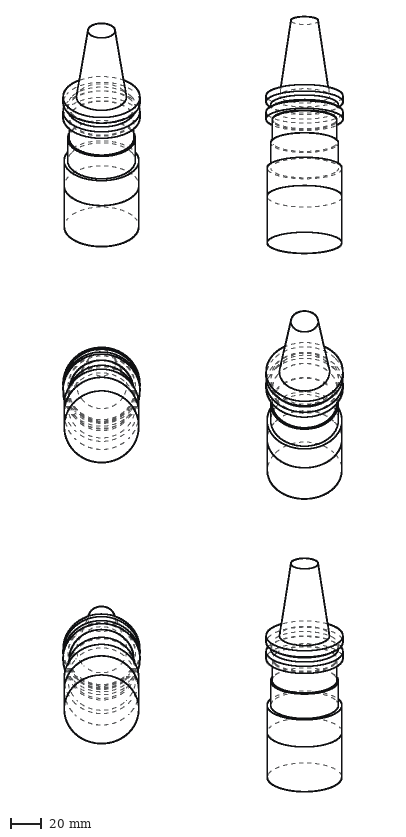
import cadquery as cq

total_height = 150.8
body_seam = 31.7
body_top = 50.8
sleeve_top = 68.5
flange_bottom = 83.8
flange_top = 99.8

lower_body_diameter = 48.5
upper_body_diameter = 48.7
sleeve_diameter = 44.0
neck_diameter = 42.2
flange_diameter = 50.0
taper_base_diameter = 32.5
taper_tip_diameter = 17.8

sleeve_chamfer_height = 0.5
neck_relief_height = 0.6
neck_relief_depth = 0.3

groove_floor_diameter = 44.0
groove_floor_bottom = 90.6
groove_floor_top = 93.6
groove_flank_height = 1.8


def disc(bottom, top, diameter):
    """Cylinder on the Z axis between two heights."""
    return cq.Workplane("XY").workplane(offset=bottom).circle(diameter / 2).extrude(top - bottom)


def cone(bottom, top, bottom_diameter, top_diameter):
    """Truncated cone on the Z axis between two heights."""
    return (
        cq.Workplane("XY")
        .workplane(offset=bottom)
        .circle(bottom_diameter / 2)
        .workplane(offset=top - bottom)
        .circle(top_diameter / 2)
        .loft(ruled=True)
    )


lower_body = disc(0, body_seam, lower_body_diameter)
upper_body = disc(body_seam, body_top, upper_body_diameter)

sleeve_edge = sleeve_top - sleeve_chamfer_height
sleeve = disc(body_top, sleeve_edge, sleeve_diameter)
shoulder = cone(sleeve_edge, sleeve_top, sleeve_diameter, neck_diameter)

neck_edge = flange_bottom - neck_relief_height
neck = disc(sleeve_top, neck_edge, neck_diameter)
neck_relief = cone(neck_edge, flange_bottom, neck_diameter, neck_diameter - 2 * neck_relief_depth)

lower_rim_top = groove_floor_bottom - groove_flank_height
upper_rim_bottom = groove_floor_top + groove_flank_height
lower_rim = disc(flange_bottom, lower_rim_top, flange_diameter)
lower_flank = cone(lower_rim_top, groove_floor_bottom, flange_diameter, groove_floor_diameter)
groove_floor = disc(groove_floor_bottom, groove_floor_top, groove_floor_diameter)
upper_flank = cone(groove_floor_top, upper_rim_bottom, groove_floor_diameter, flange_diameter)
upper_rim = disc(upper_rim_bottom, flange_top, flange_diameter)

taper = cone(flange_top, total_height, taper_base_diameter, taper_tip_diameter)

result = lower_body
for section in (
    upper_body,
    sleeve,
    shoulder,
    neck,
    neck_relief,
    lower_rim,
    lower_flank,
    groove_floor,
    upper_flank,
    upper_rim,
    taper,
):
    result = result.union(section)